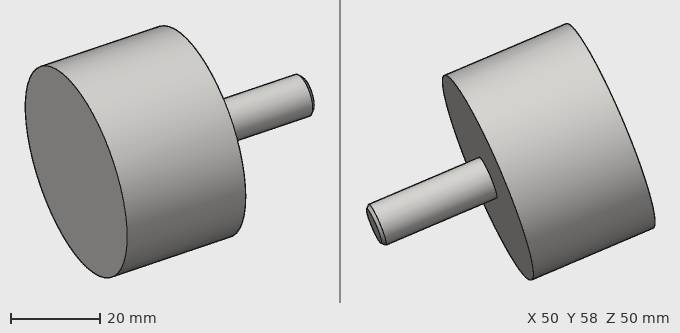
import cadquery as cq

overall_length = 58.0
buffer_diameter = 50.0
buffer_length = 30.0
stud_diameter = 10.0
stud_chamfer = 0.8

stud_length = overall_length - buffer_length
front_y = -overall_length / 2
shoulder_y = front_y + buffer_length


def cylinder_along_y(diameter, start_y, length):
    """Solid cylinder on the Y axis, running from start_y toward +Y."""
    base = cq.Workplane("XZ", origin=(0, start_y, 0))
    return base.circle(diameter / 2).extrude(-length)


def make_buffer():
    """Plain round buffer block."""
    return cylinder_along_y(buffer_diameter, front_y, buffer_length)


def make_stud():
    """Stud standing on the back face of the buffer, chamfered at its free end."""
    stud = cylinder_along_y(stud_diameter, shoulder_y, stud_length)
    return stud.faces(">Y").chamfer(stud_chamfer)


buffer = make_buffer()
stud = make_stud()

result = cq.Compound.makeCompound([buffer.val(), stud.val()])